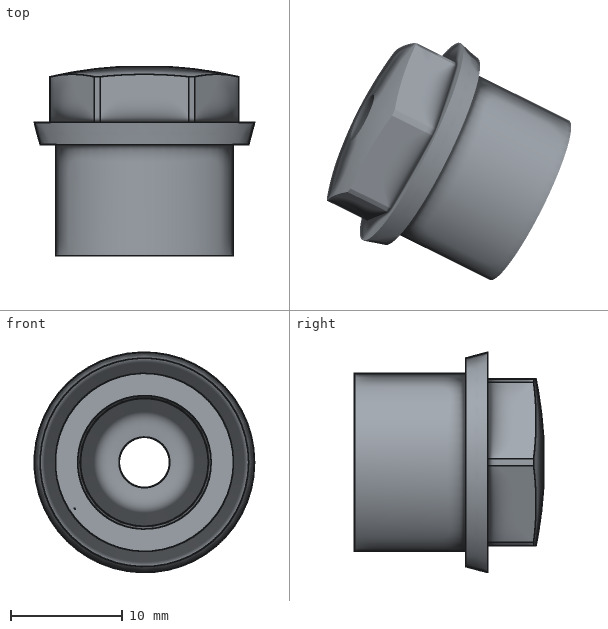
import cadquery as cq
import math

barrel_length = 10.0
flange_thickness = 2.0
overall_length = 17.0
bore_depth = 15.0
flange_top = barrel_length + flange_thickness

barrel_radius = 8.0
bore_mouth_radius = 6.0
bore_draft = 1.0
floor_slope = 6.0
hole_radius = 2.25

flange_radius = 9.9
flange_angle = 15.0

hex_sides = 6
across_flats = 15.0
corner_radius = 8.5
dome_radius = 37.62


def rise(run, angle):
    """Rise of a straight line over the given run, for an angle in degrees."""
    return run * math.tan(math.radians(angle))


def revolve_about_y(outline):
    return outline.close().revolve(360, (0, 0, 0), (0, 1, 0))


def barrel_and_flange():
    lip_radius = flange_radius - rise(flange_thickness, flange_angle)
    undercut_depth = rise(lip_radius - barrel_radius, flange_angle)
    outline = (
        cq.Workplane("XY")
        .lineTo(barrel_radius, 0)
        .lineTo(barrel_radius, barrel_length + undercut_depth)
        .lineTo(lip_radius, barrel_length)
        .lineTo(flange_radius, flange_top)
        .lineTo(0, flange_top)
    )
    return revolve_about_y(outline)


def hex_head():
    dome_centre = overall_length - math.sqrt(dome_radius**2 - hole_radius**2)

    def dome_height(radius):
        return dome_centre + math.sqrt(dome_radius**2 - radius**2)

    mid_radius = corner_radius / 2
    envelope = (
        cq.Workplane("XY")
        .moveTo(0, flange_top)
        .lineTo(corner_radius, flange_top)
        .lineTo(corner_radius, dome_height(corner_radius))
        .threePointArc((mid_radius, dome_height(mid_radius)), (0, dome_height(0)))
    )

    blank = (
        cq.Workplane("XZ", origin=(0, flange_top, 0))
        .transformed(rotate=(0, 0, 180 / hex_sides))
        .polygon(hex_sides, across_flats, circumscribed=True)
        .extrude(-overall_length)
    )
    return blank.intersect(revolve_about_y(envelope))


def bore_and_hole():
    floor_radius = bore_mouth_radius - rise(bore_depth, bore_draft)
    hole_start = bore_depth + rise(floor_radius - hole_radius, floor_slope)
    hole_end = flange_top + overall_length
    outline = (
        cq.Workplane("XY")
        .lineTo(bore_mouth_radius, 0)
        .lineTo(floor_radius, bore_depth)
        .lineTo(hole_radius, hole_start)
        .lineTo(hole_radius, hole_end)
        .lineTo(0, hole_end)
    )
    return revolve_about_y(outline)


result = barrel_and_flange().union(hex_head()).cut(bore_and_hole())